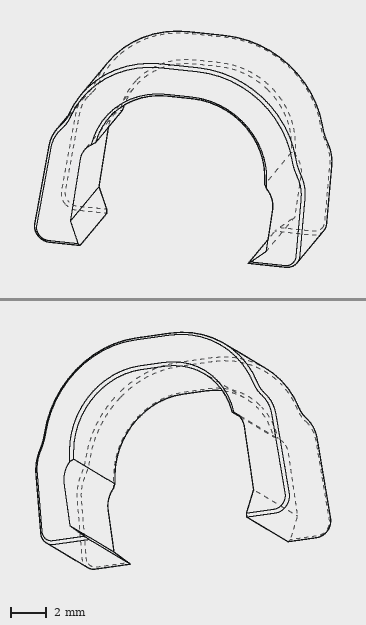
import cadquery as cq
import math

height = 11.43
depth = 5.65
edge_chamfer = 0.17
left_foot_radius = 0.89
right_foot_radius = 0.84

outer_flat = 1.08
left_outer_radius = 5.9
right_outer_radius = 5.77
wall = 1.9
inner_flat = 0.75
left_inner_radius = 4.33
right_inner_radius = 4.2
inner_top = height - wall

outer_left_angle = 71
outer_right_angle = 85
inner_left_angle = 75.5
inner_right_angle = 90

left_hip_radius = 2.35
left_neck_radius = 1.98
right_hip_radius = 2.66
right_neck_radius = 3.25

left_hip = (-7.55, 6.51)
left_foot_corner = (-8.69, 0)
left_toe = (-5.85, 0)
left_heel = (-6.35, 1.49)
left_shoulder = (-5.79, 5.23)
left_shoulder_middle = (-5.53, 5.85)

right_hip = (7.37, 5.01)
right_foot_corner = (6.95, 0)
right_toe = (3.98, 0)
right_heel = (5.09, 0.9)
right_shoulder = (5.47, 3.52)
right_shoulder_middle = (5.33, 4.33)
right_arch_foot_z = 4.83


def round_point(side, flat, top, radius, angle):
    """Point on an arch round; side is -1 for left and 1 for right."""
    turn = math.radians(angle)
    x = side * (flat + radius * math.sin(turn))
    return (x, top - radius * (1 - math.cos(turn)))


def outer_point(side, angle):
    radius = left_outer_radius if side < 0 else right_outer_radius
    return round_point(side, outer_flat, height, radius, angle)


def inner_point(side, angle):
    radius = left_inner_radius if side < 0 else right_inner_radius
    return round_point(side, inner_flat, inner_top, radius, angle)


def make_blank():
    """Sharp-cornered clip profile, drawn clockwise from the crown and extruded along Y."""
    inner_right = inner_point(1, inner_right_angle)
    profile = (
        cq.Workplane("XZ")
        .moveTo(-outer_flat, height)
        .lineTo(outer_flat, height)
        .threePointArc(outer_point(1, outer_right_angle / 2), outer_point(1, outer_right_angle))
        .lineTo(*right_hip)
        .lineTo(*right_foot_corner)
        .lineTo(*right_toe)
        .lineTo(*right_heel)
        .lineTo(*right_shoulder)
        .threePointArc(right_shoulder_middle, (inner_right[0], right_arch_foot_z))
        .lineTo(*inner_right)
        .threePointArc(inner_point(1, inner_right_angle / 2), inner_point(1, 0))
        .lineTo(-inner_flat, inner_top)
        .threePointArc(inner_point(-1, inner_left_angle / 2), inner_point(-1, inner_left_angle))
        .threePointArc(left_shoulder_middle, left_shoulder)
        .lineTo(*left_heel)
        .lineTo(*left_toe)
        .lineTo(*left_foot_corner)
        .lineTo(*left_hip)
        .lineTo(*outer_point(-1, outer_left_angle))
        .threePointArc(outer_point(-1, outer_left_angle / 2), (-outer_flat, height))
        .close()
    )
    return profile.extrude(depth / 2, both=True)


def corner_edge(body, corner):
    """Edge along Y at an (x, z) corner of the profile."""
    return body.edges(cq.selectors.NearestToPointSelector((corner[0], 0, corner[1])))


def is_mouth_edge(edge):
    """True for the edges of both legs inside the mouth, below the arch, which stay sharp."""
    middle = edge.positionAt(0.5)
    arch_end_z = inner_point(-1, inner_left_angle)[1] if middle.x < 0 else right_arch_foot_z
    between_legs = left_heel[0] < middle.x < right_shoulder[0]
    return between_legs and edge_chamfer < middle.z < arch_end_z


body = make_blank()
outer_rounds = (
    (left_foot_corner, left_foot_radius),
    (left_hip, left_hip_radius),
    (outer_point(-1, outer_left_angle), left_neck_radius),
    (right_foot_corner, right_foot_radius),
    (right_hip, right_hip_radius),
    (outer_point(1, outer_right_angle), right_neck_radius),
)
for corner, radius in outer_rounds:
    body = corner_edge(body, corner).fillet(radius)

rim_edges = body.faces("<Y or >Y").edges().filter(lambda edge: not is_mouth_edge(edge))
result = rim_edges.chamfer(edge_chamfer)